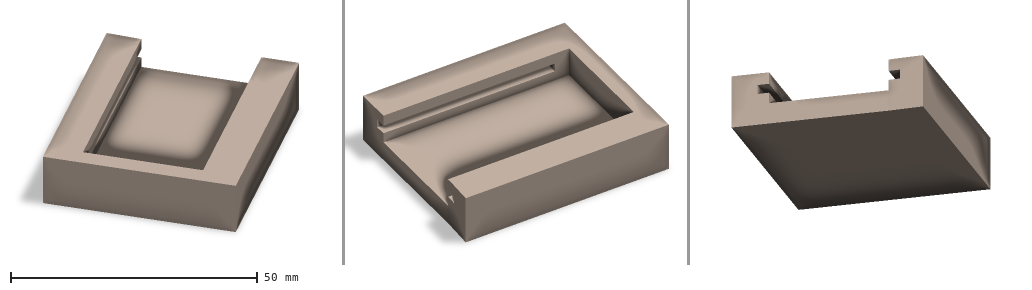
import cadquery as cq

width = 40.7
length = 48.35
height = 11.15
rear_skew = 0.35

left_wall = 7.4
right_wall = 7.97
front_wall = 3.85
pocket_depth = 6.7

lip_thickness = 2.5
groove_height = 1.95
groove_depth = 2.4
groove_front_gap = 3.35

pocket_width = width - left_wall - right_wall
rear_edge = length - rear_skew


def cutter(x_start, y_start, x_size, top_depth, z_size):
    """Box running out through the rear, its top at top_depth below the top face."""
    return cq.Workplane("XY").box(x_size, length, z_size, centered=False).translate(
        (x_start, y_start, height - top_depth - z_size)
    )


body = (
    cq.Workplane("XY")
    .polyline([(0, 0), (width, 0), (width, rear_edge), (left_wall, rear_edge), (0, length)])
    .close()
    .extrude(height)
)

pocket = cutter(left_wall, front_wall, pocket_width, 0, pocket_depth)

grooves = cutter(
    left_wall - groove_depth,
    front_wall + groove_front_gap,
    pocket_width + 2 * groove_depth,
    lip_thickness,
    groove_height,
)

result = body.cut(pocket).cut(grooves)